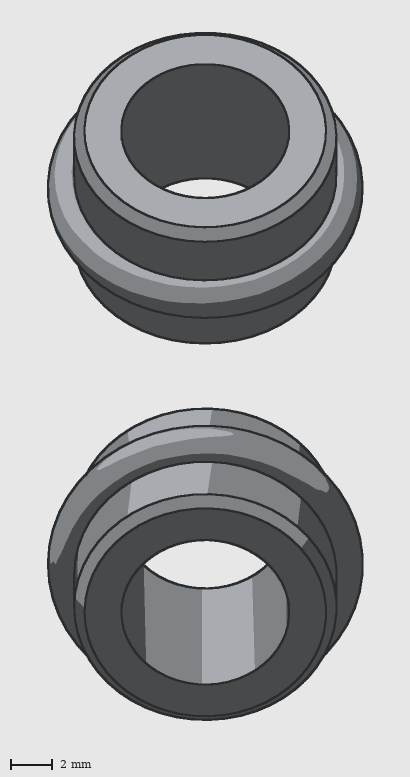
import cadquery as cq

sleeve_diameter = 12.5
bore_diameter = 8.0
sleeve_height = 9.0
chamfer_size = 0.5
ring_outer_diameter = 15.0
ring_thickness = 2.01

ring_section_radius = ring_thickness / 2
ring_center_radius = ring_outer_diameter / 2 - ring_section_radius


def make_ring():
    """Round-section sealing ring around the Z axis, centred on the origin."""
    section = cq.Workplane("XZ").center(ring_center_radius, 0).circle(ring_section_radius)
    axis_start = (-ring_center_radius, 0)
    axis_end = (-ring_center_radius, 1)
    return section.revolve(360, axis_start, axis_end)


def make_sleeve(seated_ring):
    """Chamfered tube with a through bore and a groove matching the ring."""
    blank = (
        cq.Workplane("XY")
        .circle(sleeve_diameter / 2)
        .extrude(sleeve_height / 2, both=True)
        .faces("<Z or >Z")
        .edges()
        .chamfer(chamfer_size)
    )
    bore = cq.Workplane("XY").circle(bore_diameter / 2).extrude(sleeve_height / 2, both=True)
    return blank.cut(bore).cut(seated_ring)


ring = make_ring()
sleeve = make_sleeve(ring)

result = cq.Compound.makeCompound([sleeve.val(), ring.val()])